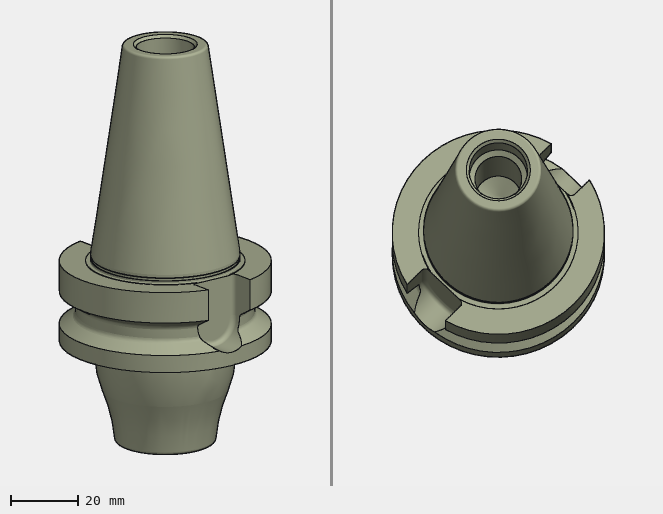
import cadquery as cq
import math

total_height = 123.4
flange_bottom = 31.1
flange_top = 56.0
flange_radius = 31.53

nose_radius = 21.1
nose_root_fillet = 0.5
nose_cylinder_bottom = 27.4
nose_blend_radius = 18.9
nose_blend_z = 16.3
nose_tip_radius = 15.0
nose_tip_fillet = 1.0

lower_rim_top = 36.4
upper_rim_bottom = 46.5
groove_floor_radius = 26.7
groove_fillet = 1.5
groove_flank_angle = math.radians(30)

collar_radius = 22.2
collar_top = 58.5
undercut_top = 57.6
taper_top_radius = 12.7
taper_top_fillet = 0.9
recess_radius = 23.7
recess_depth = 0.2
recess_fillet = 0.19
undercut_depth = 0.2
undercut_bottom = 56.6

bore_radius = 8.6
bore_depth = 8.5
mouth_chamfer = 0.9
drill_radius = 6.9
drill_depth = 30.8
drill_point_angle = math.radians(118)

slot_width = 15.9
slot_center_z = 43.2
slot_floor_x = 22.8
slot_floor_fillet = 1.5


def nose():
    """Solid of revolution: a cylinder flowing through an S-curve to the tip."""
    profile = (
        cq.Workplane("XZ")
        .moveTo(0, flange_bottom)
        .lineTo(nose_radius, flange_bottom)
        .lineTo(nose_radius, nose_cylinder_bottom)
        .tangentArcPoint((nose_blend_radius, nose_blend_z), relative=False)
        .tangentArcPoint((nose_tip_radius, 0), relative=False)
        .lineTo(0, 0)
        .close()
    )
    return profile.revolve(360, (0, 0), (0, 1)).faces("<Z").edges().fillet(nose_tip_fillet)


def flange():
    """Disc with the V-groove cut into its rim."""
    flank_rise = (flange_radius - groove_floor_radius) * math.tan(groove_flank_angle)
    groove_bottom = lower_rim_top + flank_rise
    groove_top = upper_rim_bottom - flank_rise
    outline = [
        (0, flange_bottom),
        (flange_radius, flange_bottom),
        (flange_radius, lower_rim_top),
        (groove_floor_radius, groove_bottom),
        (groove_floor_radius, groove_top),
        (flange_radius, upper_rim_bottom),
        (flange_radius, flange_top),
        (0, flange_top),
    ]
    disc = cq.Workplane("XZ").polyline(outline).close().revolve(360, (0, 0), (0, 1))
    groove_edges = cq.selectors.BoxSelector(
        (-flange_radius, -flange_radius, groove_bottom - groove_fillet),
        (flange_radius, flange_radius, groove_top + groove_fillet),
        boundingbox=True,
    )
    return disc.edges(groove_edges).edges("%CIRCLE").fillet(groove_fillet)


def recess():
    """Shallow ring sunk into the flange face around the taper."""
    ring = (
        cq.Workplane("XY", origin=(0, 0, flange_top - recess_depth))
        .circle(recess_radius)
        .circle(collar_radius)
        .extrude(recess_depth)
    )
    return ring.faces("<Z").edges().fillet(recess_fillet)


def taper():
    """Collar, a fine undercut around it, and the cone with a rounded small end."""
    undercut_radius = collar_radius - undercut_depth
    outline = [
        (0, flange_bottom),
        (collar_radius, flange_bottom),
        (collar_radius, undercut_bottom),
        (undercut_radius, undercut_bottom),
        (undercut_radius, undercut_top - undercut_depth),
        (collar_radius, undercut_top),
        (collar_radius, collar_top),
        (taper_top_radius, total_height),
        (0, total_height),
    ]
    cone = cq.Workplane("XZ").polyline(outline).close().revolve(360, (0, 0), (0, 1))
    return cone.faces(">Z").edges().fillet(taper_top_fillet)


def bore():
    """Chamfered bore with a conical ledge, followed by a drilled hole with a conical point."""
    ledge_z = total_height - bore_depth
    drill_bottom = total_height - drill_depth
    point_slope = 1 / math.tan(drill_point_angle / 2)
    ledge_drop = (bore_radius - drill_radius) * point_slope
    outline = [
        (0, total_height),
        (bore_radius + mouth_chamfer, total_height),
        (bore_radius, total_height - mouth_chamfer),
        (bore_radius, ledge_z),
        (drill_radius, ledge_z - ledge_drop),
        (drill_radius, drill_bottom),
        (0, drill_bottom - drill_radius * point_slope),
    ]
    return cq.Workplane("XZ").polyline(outline).close().revolve(360, (0, 0), (0, 1))


def drive_slot():
    """Cutter for the +X slot: open upwards, round-ended below, rounded at its floor."""
    half_width = slot_width / 2
    cutter_top = collar_top
    outer_clearance = 1.2
    cutter = (
        cq.Workplane("YZ", origin=(slot_floor_x, 0, 0))
        .moveTo(-half_width, cutter_top)
        .lineTo(-half_width, slot_center_z)
        .threePointArc((0, slot_center_z - half_width), (half_width, slot_center_z))
        .lineTo(half_width, cutter_top)
        .close()
        .extrude(flange_radius - slot_floor_x + outer_clearance)
    )
    return cutter.faces("<X").edges("not >Z").fillet(slot_floor_fillet)


def at_nose_root():
    """Selector for the corner where the nose meets the flange."""
    reach = nose_radius + nose_root_fillet
    return cq.selectors.BoxSelector(
        (-reach, -reach, flange_bottom - nose_root_fillet),
        (reach, reach, flange_bottom + nose_root_fillet),
        boundingbox=True,
    )


result = flange().cut(recess()).union(taper()).union(nose())
result = result.edges(at_nose_root()).fillet(nose_root_fillet)
for slot_angle in (0, 180):
    result = result.cut(drive_slot().rotate((0, 0, 0), (0, 0, 1), slot_angle))
result = result.cut(bore())